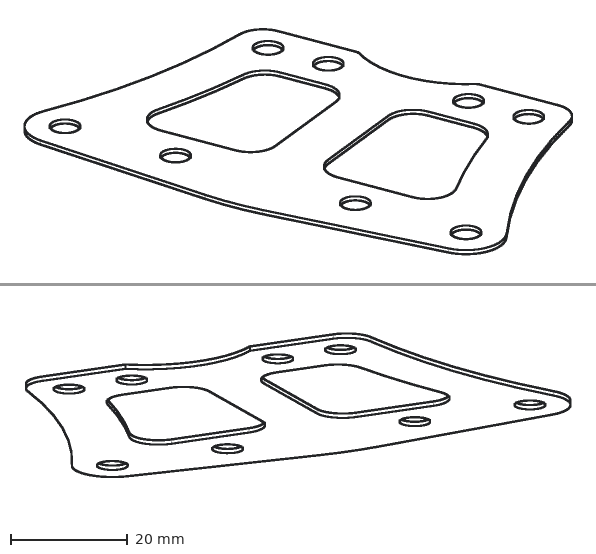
import cadquery as cq
import math

thickness = 0.8
overall_width = 94
overall_depth = 61.4

lower_corner_radius = 7.0
lower_corner_x = overall_width / 2 - lower_corner_radius
top_y = 50.6
bottom_y = top_y - overall_depth
upper_corner_radius = 5.0
bottom_arc_radius = 56.4
notch_half_width = 11.9
notch_depth = 3.95

side_center_x = -149.9
side_center_y = 58.8
side_center_distance = math.hypot(lower_corner_x + side_center_x, side_center_y)
side_radius = side_center_distance - lower_corner_radius
window_side_offset = 10.6
window_side_radius = side_radius + window_side_offset

window_inner_x = 5.3
window_top_y = 36.9
window_bottom_y = 7.05
window_corner_radius = 5.0

hole_diameter = 5.3
lower_hole_inner_x = 18.0
upper_hole_y = 44.1
upper_hole_outer_x = 26.0
upper_hole_inner_x = 14.0
hole_centers = [
    (-lower_corner_x, 0),
    (-lower_hole_inner_x, 0),
    (-upper_hole_outer_x, upper_hole_y),
    (-upper_hole_inner_x, upper_hole_y),
]


def point_on_circle(center_x, center_y, radius, angle):
    return (center_x + radius * math.cos(angle), center_y + radius * math.sin(angle))


def side_angle_at(y, radius):
    """Angle of the side arc of the given radius where it reaches height y."""
    return math.asin((y - side_center_y) / radius)


def side_point(radius, angle):
    return point_on_circle(side_center_x, side_center_y, radius, angle)


def left_plate():
    """Left half of the plate, without its openings."""
    bottom_arc_y = bottom_y + bottom_arc_radius
    radius_difference = bottom_arc_radius - lower_corner_radius
    center_distance = math.hypot(lower_corner_x, bottom_arc_y)
    bottom_slope = math.asin(radius_difference / center_distance) - math.atan2(bottom_arc_y, lower_corner_x)
    line_normal = -math.pi / 2 - bottom_slope

    side_end = math.atan2(-side_center_y, -lower_corner_x - side_center_x)
    side_start = side_angle_at(top_y, side_radius)
    corner_start = side_end + math.pi
    corner_end = line_normal + 2 * math.pi
    corner_middle = (corner_start + corner_end) / 2

    def corner_point(angle):
        return point_on_circle(-lower_corner_x, 0, lower_corner_radius, angle)

    def bottom_point(angle):
        return point_on_circle(0, bottom_arc_y, bottom_arc_radius, angle)

    notch_radius = (notch_half_width**2 + notch_depth**2) / (2 * notch_depth)
    notch_center_y = top_y - notch_depth + notch_radius
    notch_edge = math.atan2(top_y - notch_center_y, -notch_half_width)
    notch_middle = (notch_edge - math.pi / 2) / 2

    return (
        cq.Workplane("XY")
        .moveTo(-notch_half_width, top_y)
        .lineTo(*side_point(side_radius, side_start))
        .threePointArc(side_point(side_radius, (side_start + side_end) / 2), side_point(side_radius, side_end))
        .threePointArc(corner_point(corner_middle), corner_point(corner_end))
        .lineTo(*bottom_point(line_normal))
        .threePointArc(bottom_point((line_normal - math.pi / 2) / 2), (0, bottom_y))
        .lineTo(0, top_y - notch_depth)
        .threePointArc(
            point_on_circle(0, notch_center_y, notch_radius, notch_middle),
            (-notch_half_width, top_y),
        )
        .close()
        .extrude(thickness)
        .edges(cq.selectors.NearestToPointSelector((*side_point(side_radius, side_start), thickness / 2)))
        .fillet(upper_corner_radius)
    )


def left_window():
    upper_angle = side_angle_at(window_top_y, window_side_radius)
    lower_angle = side_angle_at(window_bottom_y, window_side_radius)
    return (
        cq.Workplane("XY")
        .moveTo(-window_inner_x, window_top_y)
        .lineTo(*side_point(window_side_radius, upper_angle))
        .threePointArc(
            side_point(window_side_radius, (upper_angle + lower_angle) / 2),
            side_point(window_side_radius, lower_angle),
        )
        .lineTo(-window_inner_x, window_bottom_y)
        .close()
        .extrude(thickness)
        .edges("|Z")
        .fillet(window_corner_radius)
    )


bolt_holes = cq.Workplane("XY").pushPoints(hole_centers).circle(hole_diameter / 2).extrude(thickness)
left_half = left_plate().cut(left_window()).cut(bolt_holes)
result = left_half.union(left_half.mirror("YZ")).clean()